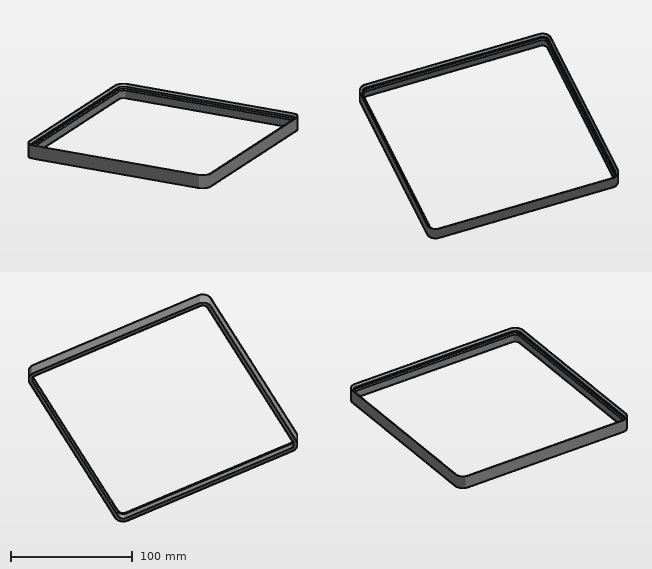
import cadquery as cq

side = 167.5
height = 11.7
corner_radius = 7.5
rim_width = 1.9
step_height = 1.8
ledge_width = 1.2

opening_inset = rim_width + ledge_width
ledge_top_z = height - rim_width - step_height
cut_clearance = 1.0


def rounded_block(inset, bottom_z, top_z):
    """Rounded-square prism whose sides lie `inset` inside the outer wall."""
    width = side - 2 * inset
    return (
        cq.Workplane("XY", origin=(0, 0, bottom_z))
        .rect(width, width)
        .extrude(top_z - bottom_z)
        .edges("|Z")
        .fillet(corner_radius - inset)
    )


def sloped_seat(inset, top_z, slope_width):
    """Cutting block with a 45 degree foot that starts at `top_z` and slopes down inward."""
    block = rounded_block(inset, top_z - slope_width, height + cut_clearance)
    return block.faces("<Z").chamfer(slope_width)


frame = rounded_block(0, 0, height)
opening = rounded_block(opening_inset, 0, height)
rim_seat = sloped_seat(0, height, rim_width)
ledge_seat = sloped_seat(rim_width, ledge_top_z, ledge_width)

result = frame.cut(opening).cut(ledge_seat).cut(rim_seat)